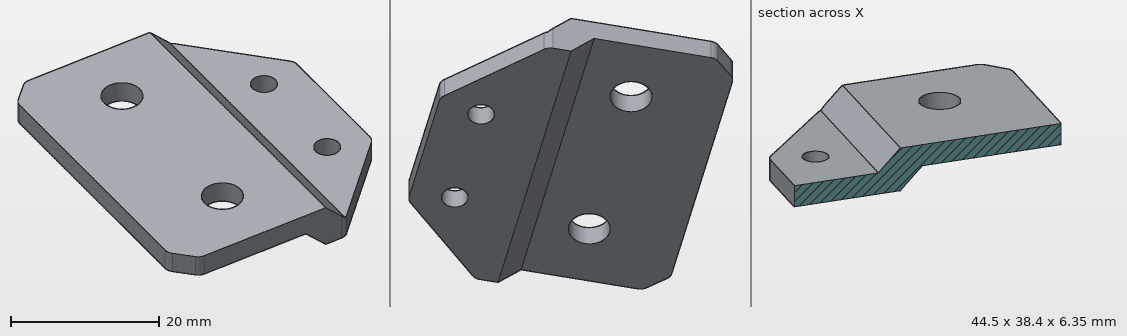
import cadquery as cq

width = 44.45
depth = 38.4
height = 6.35
thickness = height / 2

step_top_y = 23.15
step_bottom_y = step_top_y - thickness

front_chamfer = 3.2
back_edge_width = 19.65
back_taper_start_y = 26.3
corner_radius = 1.6

front_hole_diameter = 5.65
front_hole_spacing = 25.4
front_hole_y = 12.7
back_hole_diameter = 3.6
back_hole_spacing = 15.95
back_hole_y = depth - 6.05


def joggled_strip():
    """Side profile in the YZ plane, extruded across the full width."""
    profile = [
        (0, thickness),
        (step_bottom_y, thickness),
        (step_bottom_y + thickness, 0),
        (depth, 0),
        (depth, thickness),
        (step_top_y + thickness, thickness),
        (step_top_y, height),
        (0, height),
    ]
    strip = cq.Workplane("YZ").polyline(profile).close().extrude(width / 2, both=True)
    return strip


def outline_prism():
    """Plan outline with rounded corners, tall enough to trim the strip."""
    half = width / 2
    outline = [
        (-half + front_chamfer, 0),
        (half - front_chamfer, 0),
        (half, front_chamfer),
        (half, back_taper_start_y),
        (back_edge_width / 2, depth),
        (-back_edge_width / 2, depth),
        (-half, back_taper_start_y),
        (-half, front_chamfer),
    ]
    prism = cq.Workplane("XY").polyline(outline).close().extrude(height)
    return prism.edges("|Z").fillet(corner_radius)


def hole_pair(diameter, spacing, y):
    """Two vertical through-hole cutters, symmetric about X = 0."""
    centers = [(-spacing / 2, y), (spacing / 2, y)]
    return cq.Workplane("XY").pushPoints(centers).circle(diameter / 2).extrude(height)


result = (
    joggled_strip()
    .intersect(outline_prism())
    .cut(hole_pair(front_hole_diameter, front_hole_spacing, front_hole_y))
    .cut(hole_pair(back_hole_diameter, back_hole_spacing, back_hole_y))
)